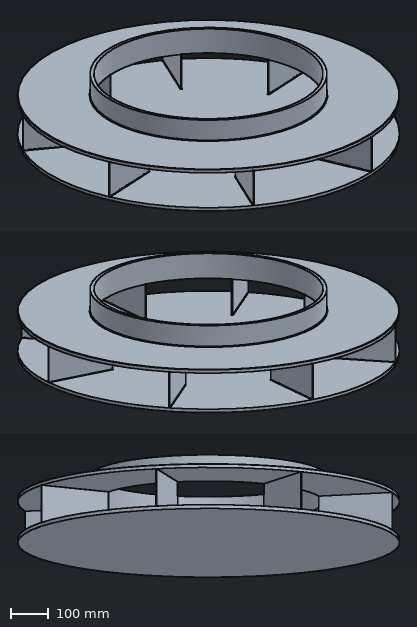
import cadquery as cq

outer_diameter = 1012.0
outer_radius = outer_diameter / 2
total_height = 180.0
plate_thickness = 10.0
blade_height = 100.0

inlet_radius = 304.0
collar_wall = 10.0
collar_radius = inlet_radius + collar_wall

rim_bevel = 1.0
weld_size = 2.0
blade_weld = 1.0

blade_count = 8
blade_thickness = 3.0
blade_overlap = 2.0

shroud_bottom = plate_thickness + blade_height
shroud_top = shroud_bottom + plate_thickness


def back_plate():
    """Solid disc closing the bottom of the impeller."""
    return cq.Workplane("XY").circle(outer_radius).extrude(plate_thickness)


def shroud_with_collar():
    """Ring-shaped plate above the blades with a cylindrical wall around the inlet."""
    profile = [
        (inlet_radius, shroud_bottom),
        (outer_radius, shroud_bottom),
        (outer_radius, shroud_top - rim_bevel),
        (outer_radius - rim_bevel, shroud_top),
        (collar_radius + weld_size, shroud_top),
        (collar_radius, shroud_top + weld_size),
        (collar_radius, total_height),
        (inlet_radius, total_height),
    ]
    return cq.Workplane("XZ").polyline(profile).close().revolve(360, (0, 0), (0, 1))


def blades():
    """Flat radial blades from the inlet edge to the rim, trimmed to the rim circle."""
    bottom = plate_thickness - blade_overlap
    top = shroud_bottom + blade_overlap
    half_blade = blade_thickness / 2
    half_foot = half_blade + blade_weld
    section = [
        (-half_foot, bottom),
        (half_foot, bottom),
        (half_foot, plate_thickness),
        (half_blade, plate_thickness + blade_weld),
        (half_blade, top),
        (-half_blade, top),
        (-half_blade, plate_thickness + blade_weld),
        (-half_foot, plate_thickness),
    ]
    blade = (
        cq.Workplane("YZ", origin=(inlet_radius, 0, 0))
        .polyline(section)
        .close()
        .extrude(outer_radius - inlet_radius)
    )
    blade_set = cq.Workplane("XY")
    for index in range(blade_count):
        angle = index * 360 / blade_count
        blade_set = blade_set.add(blade.rotate((0, 0, 0), (0, 0, 1), angle))
    rim = cq.Workplane("XY").circle(outer_radius).extrude(total_height)
    return blade_set.combine().intersect(rim)


result = back_plate().union(blades()).union(shroud_with_collar())